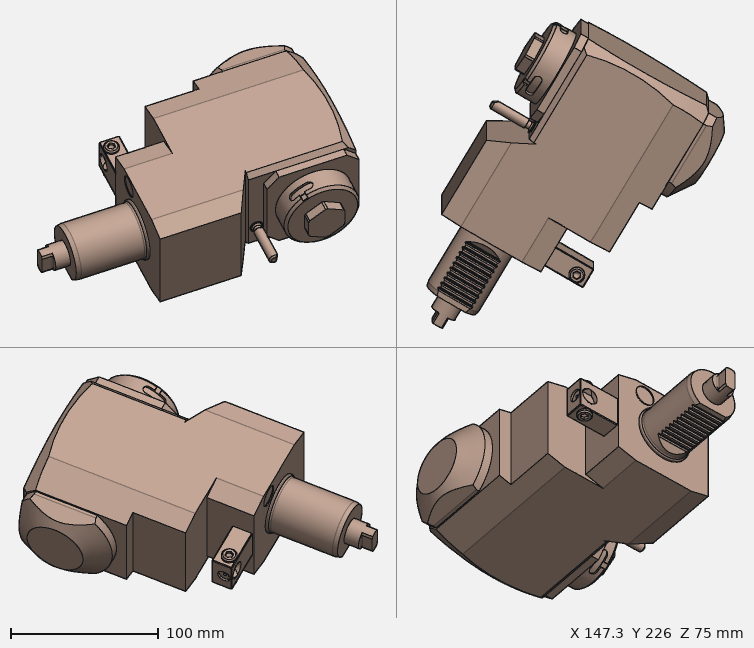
import cadquery as cq
import math


HALF_HEIGHT = 37.5
SIDE_SLOPE = math.tan(math.radians(15))
REAR_Y = 154.0
HEAD_FRONT_Y = 75.0
WAIST_FRONT_Y = 35.4
HEAD_LEFT_X = -82.0
WAIST_LEFT_X = -72.0
REAR_BEVEL_X = -57.0
FOOT_HALF_WIDTH = 39.0
FOOT_BEVEL_X = 24.0
HEAD_RIGHT_X = 14.6
HEAD_EDGE_BEVEL = 3.7
SHOULDER_X = 9.1
SHOULDER_OUTER_Y = 59.5
REAR_CONE_X = -23.0
REAR_CONE_Y = 20.0
REAR_CONE_RADIUS = 130.0
CORNER_CHAMFER = 3.8
RECESS_X = -15.9
RECESS_Z = 27.7
RECESS_RADIUS = 7.6
RECESS_DEPTH = 0.8

SPINDLE_Y = 120.0
PLATE_HALF = HALF_HEIGHT - HEAD_EDGE_BEVEL
PLATE_CORNER = 8.9
PLATE_END_X = 20.4
NUT_RADIUS = 27.6
NUT_END_X = 37.4
NUT_CHAMFER = 2.0
NUT_SLOTS = 3
NUT_FIRST_SLOT_ANGLE = 28.5
NUT_SLOT_X = 29.4
NUT_SLOT_WIDTH = 5.8
NUT_SLOT_LENGTH = 18.9
NUT_SLOT_DEPTH = 2.0
NUT_NOTCH_WIDTH = 4.0
NUT_NOTCH_DEPTH = 1.5
HEX_ACROSS_FLATS = 26.6
HEX_CORNER_RADIUS = 14.9
HEX_END_X = 44.3

CAP_RADIUS = 37.5
CAP_FACE_RADIUS = 21.0
CAP_FACE_X = -100.0
CAP_CONE_X = -88.5
CAP_SLOPE_X = -84.4
CAP_HALF_HEIGHT = 29.5
CAP_REAR_Y = 150.2
CAP_CORNER_HALF_HEIGHT = 22.9

PIN_Y = 80.5
PIN_Z = -17.4
PIN_RADIUS = 3.6
PIN_START_X = 19.8
PIN_END_X = 47.33
PIN_CHAMFER = 1.2
PIN_BEVEL_LENGTH = 3.6
PIN_BEVEL_DEPTH = 2.6
PIN_NECK_RADIUS = 2.7
PIN_NECK_X = 17.0
PIN_SEAT_RADIUS = 3.7
PIN_RIM_RADIUS = 4.6
PIN_RIM_X = 15.3
PIN_RIM_THICKNESS = 0.5

SHANK_RADIUS = 20.0
SHANK_END_Y = -53.2
SHANK_TIP_LENGTH = 3.4
SHANK_TIP_STEP = 0.8
COLLAR_RADIUS = 21.5
COLLAR_LENGTH = 2.0
COLLAR_ROUND = 0.8
LEAD_END_Y = -3.4
LEAD_STEP = 0.4
RACK_Z = -15.7
RACK_START_Y = -10.2
RACK_FIRST_GROOVE_Y = -11.4
RACK_PITCH = 4.07
RACK_GROOVES = 10
RACK_GROOVE_DEPTH = 1.0
RACK_GROOVE_TOP = 2.6
RACK_GROOVE_ROOT = 0.8
DRIVE_RADIUS = 9.1
DRIVE_SHOULDER_Y = -64.0
DRIVE_END_Y = -72.0
TONGUE_HALF = 4.2
TONGUE_FLAT_HALF = 6.6
TONGUE_EDGE_HALF = 3.0
TONGUE_ROOT_FILLET = 0.8

BLOCK_LEFT_X = -71.2
BLOCK_FRONT_Y = 1.2
BLOCK_DEPTH = 15.0
BLOCK_HALF_HEIGHT = 12.5
BLOCK_CHAMFER = 0.6
BLOCK_PORT_X = -63.0
BLOCK_PORT_Y = 7.0
FRONT_PORT_RADIUS = 6.3
FRONT_PORT_INNER_HALF = 4.9
FRONT_PORT_DEPTH = 3.5
SIDE_PORT_RADIUS = 4.7
SIDE_PORT_DEPTH = 1.5
SIDE_DUCT_RADIUS = 1.1
SCREW_RADIUS = 5.4
SCREW_HEIGHT = 2.4
SCREW_CHAMFER = 1.0
SOCKET_ACROSS_CORNERS = 5.6
SOCKET_DEPTH = 2.0
SOCKET_CONE_DEPTH = 1.5

OVERLAP = 1.0
CLEAR = 5.0


def prism_y(points, y_start, y_end):
    """Extrude an XZ outline from y_start to y_end."""
    plane = cq.Workplane("XZ", origin=(0, y_end, 0))
    return plane.polyline(points).close().extrude(y_end - y_start)


def prism_x(points, x_start, x_end):
    """Extrude a YZ outline from x_start to x_end."""
    plane = cq.Workplane("YZ", origin=(x_start, 0, 0))
    return plane.polyline(points).close().extrude(x_end - x_start)


def cylinder_x(radius, x_start, x_end, y, z):
    """Round bar along X."""
    plane = cq.Workplane("YZ", origin=(x_start, y, z))
    return plane.circle(radius).extrude(x_end - x_start)


def cylinder_y(radius, y_start, y_end, x=0, z=0):
    """Round bar along Y, between y_start and a smaller y_end."""
    plane = cq.Workplane("XZ", origin=(x, y_start, z))
    return plane.circle(radius).extrude(y_start - y_end)


def mirrored_in_z(upper_points):
    """Close an outline listed for +Z by mirroring it to -Z."""
    lower_points = [(u, -z) for u, z in reversed(upper_points)]
    return upper_points + lower_points


def bevel_height(run):
    """Height of the 15 degree side bevel at a distance from where it starts."""
    return HALF_HEIGHT - run * SIDE_SLOPE


def make_head():
    profile = mirrored_in_z([
        (HEAD_LEFT_X, bevel_height(REAR_BEVEL_X - HEAD_LEFT_X)),
        (REAR_BEVEL_X, HALF_HEIGHT),
        (HEAD_RIGHT_X - HEAD_EDGE_BEVEL, HALF_HEIGHT),
        (HEAD_RIGHT_X, HALF_HEIGHT - HEAD_EDGE_BEVEL),
    ])
    head = prism_y(profile, HEAD_FRONT_Y, REAR_Y)
    cone_profile = [
        (0, -HALF_HEIGHT),
        (REAR_CONE_RADIUS, -HALF_HEIGHT),
        (REAR_CONE_RADIUS + HALF_HEIGHT, 0),
        (REAR_CONE_RADIUS, HALF_HEIGHT),
        (0, HALF_HEIGHT),
    ]
    rear_cone = (
        cq.Workplane("XZ").polyline(cone_profile).close()
        .revolve(360, (0, 0, 0), (0, 1, 0))
        .translate((REAR_CONE_X, REAR_CONE_Y, 0))
    )
    corner = (
        cq.Workplane("XY", origin=(0, 0, -HALF_HEIGHT))
        .moveTo(HEAD_LEFT_X, REAR_Y)
        .lineTo(HEAD_LEFT_X + CORNER_CHAMFER, REAR_Y)
        .lineTo(HEAD_LEFT_X, REAR_Y - CORNER_CHAMFER)
        .close().extrude(2 * HALF_HEIGHT)
    )
    return head.intersect(rear_cone).cut(corner)


def make_waist_and_foot():
    foot_edge = bevel_height(FOOT_HALF_WIDTH - FOOT_BEVEL_X)
    right_side = [(FOOT_BEVEL_X, HALF_HEIGHT), (FOOT_HALF_WIDTH, foot_edge)]
    waist_left = [
        (WAIST_LEFT_X, bevel_height(REAR_BEVEL_X - WAIST_LEFT_X)),
        (REAR_BEVEL_X, HALF_HEIGHT),
    ]
    foot_left = [(-FOOT_HALF_WIDTH, foot_edge), (-FOOT_BEVEL_X, HALF_HEIGHT)]
    waist = prism_y(mirrored_in_z(waist_left + right_side), WAIST_FRONT_Y, HEAD_FRONT_Y)
    foot = prism_y(mirrored_in_z(foot_left + right_side), 0, WAIST_FRONT_Y)
    shoulder = (
        cq.Workplane("XY", origin=(0, 0, -HALF_HEIGHT))
        .moveTo(SHOULDER_X, HEAD_FRONT_Y)
        .lineTo(FOOT_HALF_WIDTH, SHOULDER_OUTER_Y)
        .lineTo(FOOT_HALF_WIDTH, HEAD_FRONT_Y)
        .close().extrude(2 * HALF_HEIGHT)
    )
    recess = cylinder_y(RECESS_RADIUS, RECESS_DEPTH, 0, RECESS_X, RECESS_Z)
    return waist.union(foot).cut(shoulder).cut(recess)


def make_cap():
    cap_base_x = HEAD_LEFT_X + OVERLAP
    turned = (
        cq.Workplane("XY")
        .moveTo(cap_base_x, 0)
        .lineTo(cap_base_x, CAP_RADIUS)
        .lineTo(CAP_CONE_X, CAP_RADIUS)
        .lineTo(CAP_FACE_X, CAP_FACE_RADIUS)
        .lineTo(CAP_FACE_X, 0)
        .close().revolve(360, (0, 0, 0), (1, 0, 0))
        .translate((0, SPINDLE_Y, 0))
    )
    front_y = SPINDLE_Y - CAP_RADIUS
    sloped_height = CAP_HALF_HEIGHT - (CAP_SLOPE_X - CAP_FACE_X) * SIDE_SLOPE
    side_limits = prism_y(mirrored_in_z([
        (CAP_FACE_X, sloped_height),
        (CAP_SLOPE_X, CAP_HALF_HEIGHT),
        (cap_base_x, CAP_HALF_HEIGHT),
    ]), front_y, CAP_REAR_Y)
    corner_run = CAP_HALF_HEIGHT - CAP_CORNER_HALF_HEIGHT
    rear_limits = prism_x(mirrored_in_z([
        (front_y, CAP_HALF_HEIGHT),
        (CAP_REAR_Y - corner_run, CAP_HALF_HEIGHT),
        (CAP_REAR_Y, CAP_CORNER_HALF_HEIGHT),
    ]), CAP_FACE_X, cap_base_x)
    return turned.intersect(side_limits).intersect(rear_limits)


def make_nut_slot(angle):
    """Radial hook slot with a narrow notch running out through the end of the nut."""
    slot_floor = cylinder_x(NUT_RADIUS - NUT_SLOT_DEPTH, PLATE_END_X, NUT_END_X, 0, 0)
    slot = (
        cq.Workplane("XY", origin=(NUT_SLOT_X, 0, 0))
        .slot2D(NUT_SLOT_LENGTH, NUT_SLOT_WIDTH, 90).extrude(NUT_RADIUS + CLEAR)
        .cut(slot_floor)
    )
    notch_length = NUT_END_X - NUT_SLOT_X
    notch = (
        cq.Workplane("XY", origin=(NUT_SLOT_X, 0, NUT_RADIUS - NUT_NOTCH_DEPTH))
        .rect(2 * notch_length, NUT_NOTCH_WIDTH).extrude(CLEAR)
        .intersect(cylinder_x(NUT_RADIUS + CLEAR, NUT_SLOT_X, NUT_END_X, 0, 0))
    )
    cutter = slot.union(notch)
    return cutter.rotate((0, 0, 0), (1, 0, 0), angle).translate((0, SPINDLE_Y, 0))


def make_spindle():
    plate = (
        cq.Workplane("YZ", origin=(HEAD_RIGHT_X - OVERLAP, SPINDLE_Y, 0))
        .rect(2 * PLATE_HALF, 2 * PLATE_HALF)
        .extrude(PLATE_END_X - HEAD_RIGHT_X + OVERLAP)
        .edges("|X").chamfer(PLATE_CORNER)
    )
    nut = cylinder_x(NUT_RADIUS, PLATE_END_X - OVERLAP, NUT_END_X, SPINDLE_Y, 0)
    nut = nut.faces(">X").chamfer(NUT_CHAMFER)
    for index in range(NUT_SLOTS):
        nut = nut.cut(make_nut_slot(NUT_FIRST_SLOT_ANGLE + index * 360 / NUT_SLOTS))
    hex_start = NUT_END_X - OVERLAP
    hex_diameter = HEX_ACROSS_FLATS / math.cos(math.radians(30))
    hexagon = (
        cq.Workplane("YZ", origin=(hex_start, SPINDLE_Y, 0))
        .polygon(6, hex_diameter).extrude(HEX_END_X - hex_start)
        .rotate((0, SPINDLE_Y, 0), (1, SPINDLE_Y, 0), 90)
        .intersect(cylinder_x(HEX_CORNER_RADIUS, hex_start, HEX_END_X, SPINDLE_Y, 0))
    )
    return plate.union(nut).union(hexagon)


def make_pin():
    """Turned pin: rimmed seat, neck and chamfered body with a bevelled tip."""
    rim_end_x = PIN_RIM_X + PIN_RIM_THICKNESS
    pin = (
        cq.Workplane("XY")
        .moveTo(HEAD_RIGHT_X - OVERLAP, 0)
        .lineTo(HEAD_RIGHT_X - OVERLAP, PIN_SEAT_RADIUS)
        .lineTo(PIN_RIM_X, PIN_SEAT_RADIUS)
        .lineTo(PIN_RIM_X, PIN_RIM_RADIUS)
        .lineTo(rim_end_x, PIN_RIM_RADIUS)
        .lineTo(rim_end_x, PIN_SEAT_RADIUS)
        .lineTo(PIN_NECK_X, PIN_NECK_RADIUS)
        .lineTo(PIN_START_X, PIN_NECK_RADIUS)
        .lineTo(PIN_START_X, PIN_RADIUS)
        .lineTo(PIN_END_X - PIN_CHAMFER, PIN_RADIUS)
        .lineTo(PIN_END_X, PIN_RADIUS - PIN_CHAMFER)
        .lineTo(PIN_END_X, 0)
        .close().revolve(360, (0, 0, 0), (1, 0, 0))
    )
    bevel = (
        cq.Workplane("XY", origin=(0, 0, -PIN_RADIUS))
        .moveTo(PIN_END_X - PIN_BEVEL_LENGTH, PIN_RADIUS)
        .lineTo(PIN_END_X, PIN_RADIUS - PIN_BEVEL_DEPTH)
        .lineTo(PIN_END_X, PIN_RADIUS)
        .close().extrude(2 * PIN_RADIUS)
    )
    return pin.cut(bevel).translate((0, PIN_Y, PIN_Z))


def make_rack_cutter():
    """Flat with a 45 degree run-in along the underside of the shank, with cross grooves."""
    drop = CLEAR + SHANK_RADIUS + RACK_Z
    cutter = prism_x([
        (RACK_START_Y, RACK_Z),
        (RACK_START_Y + drop, RACK_Z - drop),
        (SHANK_END_Y - CLEAR, RACK_Z - drop),
        (SHANK_END_Y - CLEAR, RACK_Z),
    ], -SHANK_RADIUS, SHANK_RADIUS)
    for index in range(RACK_GROOVES):
        groove_y = RACK_FIRST_GROOVE_Y - index * RACK_PITCH
        groove = prism_x([
            (groove_y - RACK_GROOVE_TOP / 2, RACK_Z),
            (groove_y - RACK_GROOVE_ROOT / 2, RACK_Z + RACK_GROOVE_DEPTH),
            (groove_y + RACK_GROOVE_ROOT / 2, RACK_Z + RACK_GROOVE_DEPTH),
            (groove_y + RACK_GROOVE_TOP / 2, RACK_Z),
        ], -SHANK_RADIUS, SHANK_RADIUS)
        cutter = cutter.union(groove)
    return cutter


def make_drive():
    """Stub shaft ending in a flat tongue with bevelled edges."""
    shaft = cylinder_y(DRIVE_RADIUS, SHANK_END_Y + OVERLAP, DRIVE_SHOULDER_Y)
    tongue = prism_y(mirrored_in_z([
        (-TONGUE_HALF, TONGUE_FLAT_HALF),
        (-TONGUE_EDGE_HALF, DRIVE_RADIUS),
        (TONGUE_EDGE_HALF, DRIVE_RADIUS),
        (TONGUE_HALF, TONGUE_FLAT_HALF),
    ]), DRIVE_END_Y, DRIVE_SHOULDER_Y + OVERLAP)
    tongue = tongue.intersect(cylinder_y(DRIVE_RADIUS, SHANK_END_Y, DRIVE_END_Y))
    drive = shaft.union(tongue)
    return drive.edges("|Z").edges(">Y").fillet(TONGUE_ROOT_FILLET)


def make_shank():
    shank = cylinder_y(SHANK_RADIUS, OVERLAP, SHANK_END_Y)
    shank = shank.faces("<Y").chamfer(SHANK_TIP_LENGTH, SHANK_TIP_STEP)
    shank = shank.cut(make_rack_cutter())
    collar = cylinder_y(COLLAR_RADIUS, OVERLAP, -COLLAR_LENGTH)
    collar = collar.faces("<Y").edges().fillet(COLLAR_ROUND)
    lead = cq.Solid.makeCone(
        SHANK_RADIUS + LEAD_STEP, SHANK_RADIUS, -LEAD_END_Y - COLLAR_LENGTH,
        pnt=cq.Vector(0, -COLLAR_LENGTH, 0), dir=cq.Vector(0, -1, 0))
    return shank.union(collar).union(cq.Workplane(lead)).union(make_drive())


def make_screw_head():
    """Round head standing on the top of the coolant block."""
    return (
        cq.Workplane("XY", origin=(BLOCK_PORT_X, BLOCK_PORT_Y, BLOCK_HALF_HEIGHT - OVERLAP))
        .circle(SCREW_RADIUS).extrude(SCREW_HEIGHT + OVERLAP)
        .faces(">Z").chamfer(SCREW_CHAMFER)
    )


def make_screw_socket():
    """Hexagonal socket with a conical floor, sunk from the top of the screw head."""
    floor_z = BLOCK_HALF_HEIGHT + SCREW_HEIGHT - SOCKET_DEPTH
    hexagon = (
        cq.Workplane("XY", origin=(BLOCK_PORT_X, BLOCK_PORT_Y, floor_z))
        .polygon(6, SOCKET_ACROSS_CORNERS).extrude(SOCKET_DEPTH)
    )
    cone = cq.Solid.makeCone(
        SOCKET_ACROSS_CORNERS * math.cos(math.radians(30)) / 2, 0, SOCKET_CONE_DEPTH,
        pnt=cq.Vector(BLOCK_PORT_X, BLOCK_PORT_Y, floor_z), dir=cq.Vector(0, 0, -1))
    return hexagon.union(cq.Workplane(cone))


def make_block():
    block_end_x = -FOOT_HALF_WIDTH + OVERLAP
    block = (
        cq.Workplane("XY", origin=(BLOCK_LEFT_X, BLOCK_FRONT_Y, 0))
        .box(block_end_x - BLOCK_LEFT_X, BLOCK_DEPTH, 2 * BLOCK_HALF_HEIGHT,
             centered=(False, False, True))
        .edges("not(>X)").chamfer(BLOCK_CHAMFER)
    )
    port_back_y = BLOCK_FRONT_Y + FRONT_PORT_DEPTH
    taper = prism_x(mirrored_in_z([
        (BLOCK_FRONT_Y, FRONT_PORT_RADIUS),
        (port_back_y, FRONT_PORT_INNER_HALF),
    ]), BLOCK_PORT_X - FRONT_PORT_RADIUS, BLOCK_PORT_X + FRONT_PORT_RADIUS)
    front_port = cylinder_y(FRONT_PORT_RADIUS, port_back_y, BLOCK_FRONT_Y, BLOCK_PORT_X)
    front_port = front_port.intersect(taper)
    side_port = cylinder_x(
        SIDE_PORT_RADIUS, BLOCK_LEFT_X, BLOCK_LEFT_X + SIDE_PORT_DEPTH, BLOCK_PORT_Y, 0)
    side_duct = cylinder_x(SIDE_DUCT_RADIUS, BLOCK_LEFT_X, BLOCK_PORT_X, BLOCK_PORT_Y, 0)
    for head in (make_screw_head(), make_screw_head().mirror("XY")):
        block = block.union(head)
    for socket in (make_screw_socket(), make_screw_socket().mirror("XY")):
        block = block.cut(socket)
    return block.cut(front_port).cut(side_port).cut(side_duct)


result = make_head().union(make_waist_and_foot())
for component in (make_cap(), make_spindle(), make_pin(), make_shank(), make_block()):
    result = result.union(component)